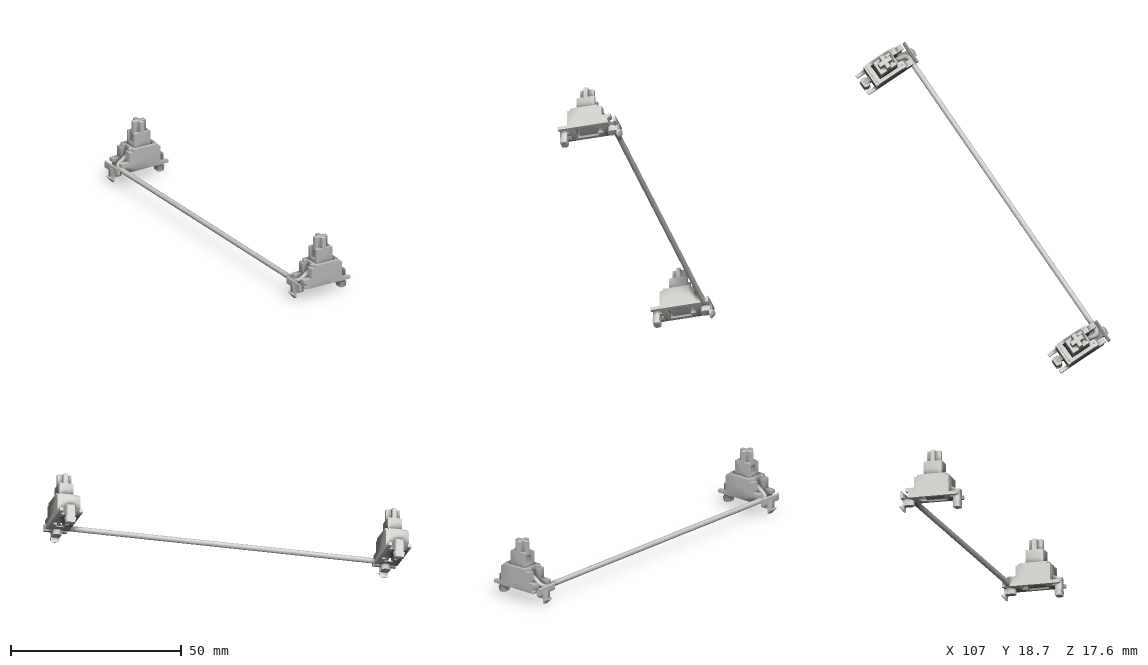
import cadquery as cq
import math

unit_spacing = 100.0
unit_width = 7.01
half_width = unit_width / 2

peg_tip_z = -3.2
stem_top_z = 14.4
rear_end_y = 8.1
front_tip_y = -10.6

body_half_length = 5.3
body_top_z = 6.8
shoulder_z = 6.1
crown_half_length = 4.68
crown_width = 4.9
crown_side_front_y = -4.0
crown_side_back_y = 4.4
cavity_width = 4.85
cavity_front_y = -2.93
cavity_back_y = 3.5

recess_width = 2.6
recess_back_y = -3.7
window_top_z = 5.5
pad_front_y = -7.9
pad_top_z = 2.95
pad_gap = 3.5
floor_back_y = -4.5

wire_diameter = 1.6
wire_radius = wire_diameter / 2
wire_y = -7.7
wire_z = 1.1
wire_bend_radius = 1.9
wire_tilt = 35.0
wire_leg_length = 8.0
floor_top_z = wire_z - wire_radius
groove_mouth_y = -7.2

flange_front_y = -9.5
flange_back_y = -8.55
flange_top_z = 2.25
flange_crest_y = -9.25
flange_slope_z = 1.2
flange_chamfer_height = 0.3
peg_bridge_width = 2.6
front_peg_y = wire_y
front_peg_diameter = 3.0
front_peg_bottom_z = -1.6
front_peg_flat_length = 1.3
hook_radius = 2.05
hook_top_z = 1.0
hook_barb_z = -1.85
hook_back_y = -9.15
hook_end_radius = 1.75

arm_width = 1.1
arm_height = 1.0
rear_peg_y = 7.0
rear_peg_length = 2.0
rear_peg_radius = 1.45
rear_barb_radius = 1.8
rear_peg_top_z = 2.25
rear_barb_z = -1.6
rib_width = 1.5
rib_root_z = 3.2
rib_end_y = 7.4
rib_end_z = 2.3

stem_width = 4.2
stem_length = 5.5
stem_bottom_z = 0.5
stem_shoulder_z = 11.0
cross_size = 4.2
cross_thickness = 1.3
cross_chamfer = 0.15
pocket_width = 2.6
pocket_depth = 0.65
pocket_bottom_z = 7.75
pocket_inner_depth = 1.3
pocket_ramp_top_z = 9.2
pocket_lip_z = 10.0


def box(x_range, y_range, z_range):
    """Box between the given (low, high) pairs."""
    sizes = [high - low for low, high in (x_range, y_range, z_range)]
    corner = (x_range[0], y_range[0], z_range[0])
    return cq.Workplane("XY").box(*sizes, centered=False).translate(corner)


def middle_box(width, y_range, z_range):
    """Box centred on X = 0."""
    return box((-width / 2, width / 2), y_range, z_range)


def side_profile(points, width):
    """Prism of the given (y, z) outline, centred on X = 0."""
    return cq.Workplane("YZ").polyline(points).close().extrude(width / 2, both=True)


def upright_cylinder(radius, y, z_range):
    height = z_range[1] - z_range[0]
    return cq.Workplane("XY", origin=(0, y, z_range[0])).circle(radius).extrude(height)


def wire_leg_point(along, unit_x):
    """Point on a leg axis at a distance from the bar axis."""
    tilt = math.radians(wire_tilt)
    return cq.Vector(unit_x, wire_y + along * math.cos(tilt), wire_z + along * math.sin(tilt))


def make_wire():
    left_x = -unit_spacing / 2
    right_x = unit_spacing / 2
    bar_end = right_x - wire_bend_radius
    bend_offset = wire_bend_radius * (1 - math.sqrt(0.5))

    def bend_middle(unit_x, inward):
        return wire_leg_point(bend_offset, unit_x + inward * bend_offset)

    left_end = wire_leg_point(wire_leg_length, left_x)
    left_bend = wire_leg_point(wire_bend_radius, left_x)
    bar_left = cq.Vector(-bar_end, wire_y, wire_z)
    bar_right = cq.Vector(bar_end, wire_y, wire_z)
    right_bend = wire_leg_point(wire_bend_radius, right_x)
    right_end = wire_leg_point(wire_leg_length, right_x)
    path = cq.Wire.assembleEdges([
        cq.Edge.makeLine(left_end, left_bend),
        cq.Edge.makeThreePointArc(left_bend, bend_middle(left_x, 1), bar_left),
        cq.Edge.makeLine(bar_left, bar_right),
        cq.Edge.makeThreePointArc(bar_right, bend_middle(right_x, -1), right_bend),
        cq.Edge.makeLine(right_bend, right_end),
    ])
    leg_plane = cq.Plane(origin=left_end, xDir=(1, 0, 0), normal=left_bend - left_end)
    return cq.Workplane(leg_plane).circle(wire_radius).sweep(cq.Workplane(path))


def make_body():
    """Hollow housing block with its stepped top and the recess for the wire leg."""
    body = middle_box(unit_width, (-body_half_length, body_half_length), (0, shoulder_z))
    crown_z = (shoulder_z, body_top_z)
    body = body.union(
        middle_box(unit_width, (crown_side_front_y, crown_side_back_y), crown_z))
    body = body.union(
        middle_box(crown_width, (-crown_half_length, crown_half_length), crown_z))
    body = body.cut(
        middle_box(cavity_width, (cavity_front_y, cavity_back_y), (0, body_top_z)))
    body = body.cut(middle_box(recess_width, (-body_half_length, recess_back_y), (0, body_top_z)))
    return body.cut(middle_box(recess_width, (recess_back_y, 0), (0, window_top_z)))


def make_pads():
    """Pads either side of the wire leg, with the open groove that holds the bar."""
    pads = middle_box(unit_width, (pad_front_y, -body_half_length), (0, pad_top_z))
    pads = pads.cut(middle_box(pad_gap, (pad_front_y, -body_half_length), (0, pad_top_z)))
    groove = (cq.Workplane("YZ").center(wire_y, wire_z).circle(wire_radius)
              .extrude(half_width, both=True))
    mouth = middle_box(unit_width, (pad_front_y, groove_mouth_y), (0, wire_z))
    return pads.cut(groove).cut(mouth)


def make_flange():
    """Front cross bar with a sloped back and a chamfered top, and the floor that carries it."""
    flange = side_profile([
        (flange_front_y, 0),
        (flange_back_y, 0),
        (flange_back_y, flange_slope_z),
        (flange_crest_y, flange_top_z),
        (flange_front_y, flange_top_z - flange_chamfer_height),
    ], unit_width)
    back_floor = middle_box(pad_gap, (groove_mouth_y, floor_back_y), (0, floor_top_z))
    bridge = middle_box(peg_bridge_width, (flange_back_y, groove_mouth_y), (0, floor_top_z))
    return flange.union(back_floor).union(bridge)


def make_front_peg():
    """Flat-sided stub below the wire, and the curved snap hook on the flange."""
    stub_z = (front_peg_bottom_z, 0)
    stub = upright_cylinder(front_peg_diameter / 2, front_peg_y, stub_z)
    flat_y = (front_peg_y - front_peg_flat_length / 2, front_peg_y + front_peg_flat_length / 2)
    waist = middle_box(peg_bridge_width, flat_y, stub_z)
    stub = stub.cut(middle_box(unit_width, flat_y, stub_z)).union(waist)
    stub = stub.union(middle_box(
        peg_bridge_width, (flange_front_y, flat_y[0]), (front_peg_bottom_z, 0)))

    barb_radius = front_peg_y - front_tip_y
    hook = (
        cq.Workplane("XZ", origin=(0, front_peg_y, 0))
        .moveTo(0, hook_top_z)
        .lineTo(hook_radius, hook_top_z)
        .lineTo(hook_radius, front_peg_bottom_z)
        .lineTo(barb_radius, front_peg_bottom_z)
        .lineTo(barb_radius, hook_barb_z)
        .lineTo(hook_end_radius, peg_tip_z)
        .lineTo(0, peg_tip_z)
        .close()
        .revolve(360, (0, 0, 0), (0, 1, 0))
    )
    hook = hook.intersect(
        middle_box(peg_bridge_width, (front_tip_y, hook_back_y), (peg_tip_z, hook_top_z)))
    return stub.union(hook)


def make_rear_peg():
    """Barbed peg cut flat front and back, on a rib that slopes down from the body."""
    peg = upright_cylinder(rear_peg_radius, rear_peg_y, (peg_tip_z, rear_peg_top_z))
    barb = cq.Solid.makeCone(
        rear_peg_radius, rear_barb_radius, rear_barb_z - peg_tip_z,
        pnt=cq.Vector(0, rear_peg_y, peg_tip_z))
    slice_y = (rear_peg_y - rear_peg_length / 2, rear_peg_y + rear_peg_length / 2)
    peg = peg.union(cq.Workplane(barb))
    peg = peg.intersect(middle_box(unit_width, slice_y, (peg_tip_z, rear_peg_top_z)))
    rib = side_profile([
        (body_half_length, 0),
        (rib_end_y, 0),
        (rib_end_y, rib_end_z),
        (body_half_length, rib_root_z),
    ], rib_width)
    return peg.union(rib)


def make_rear_arms():
    arm_y = (body_half_length, rear_end_y)
    left_arm = box((-half_width, arm_width - half_width), arm_y, (0, arm_height))
    return left_arm.union(left_arm.mirror("YZ"))


def make_housing():
    housing = make_body().union(make_pads()).union(make_flange())
    return housing.union(make_front_peg()).union(make_rear_peg()).union(make_rear_arms())


def make_stem():
    """Shaft with a ramped front pocket, topped by the cross that carries the keycap."""
    front_y = -stem_length / 2
    shaft = middle_box(stem_width, (front_y, -front_y), (stem_bottom_z, stem_shoulder_z))
    pocket = side_profile([
        (front_y, pocket_bottom_z),
        (front_y + pocket_depth, pocket_bottom_z),
        (front_y + pocket_inner_depth, pocket_ramp_top_z),
        (front_y + pocket_inner_depth, pocket_lip_z),
        (front_y + pocket_depth, pocket_lip_z),
        (front_y + pocket_depth, stem_shoulder_z),
        (front_y, stem_shoulder_z),
    ], pocket_width)
    cross_height = stem_top_z - stem_shoulder_z
    cross_base = cq.Workplane("XY", origin=(0, 0, stem_shoulder_z))
    cross = cross_base.rect(cross_size, cross_thickness).extrude(cross_height)
    cross = cross.union(cross_base.rect(cross_thickness, cross_size).extrude(cross_height))
    cross = cross.faces(">Z").chamfer(cross_chamfer)
    return shaft.cut(pocket).union(cross)


wire = make_wire()
housings = []
stems = []
for unit_x in (-unit_spacing / 2, unit_spacing / 2):
    housings.append(make_housing().translate((unit_x, 0, 0)).cut(wire))
    stems.append(make_stem().translate((unit_x, 0, 0)).cut(wire))

result = cq.Compound.makeCompound(
    [wire.val()] + [housing.val() for housing in housings] + [stem.val() for stem in stems]
)